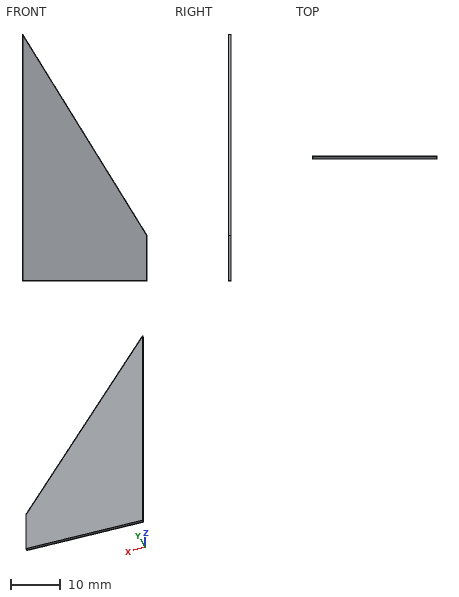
import cadquery as cq

width = 25.0
thickness = 0.6
tall_side = 49.6
short_side = 9.2

outline = [
    (0, 0),
    (width, 0),
    (width, short_side),
    (0, tall_side),
]

result = cq.Workplane("XZ").polyline(outline).close().extrude(-thickness)